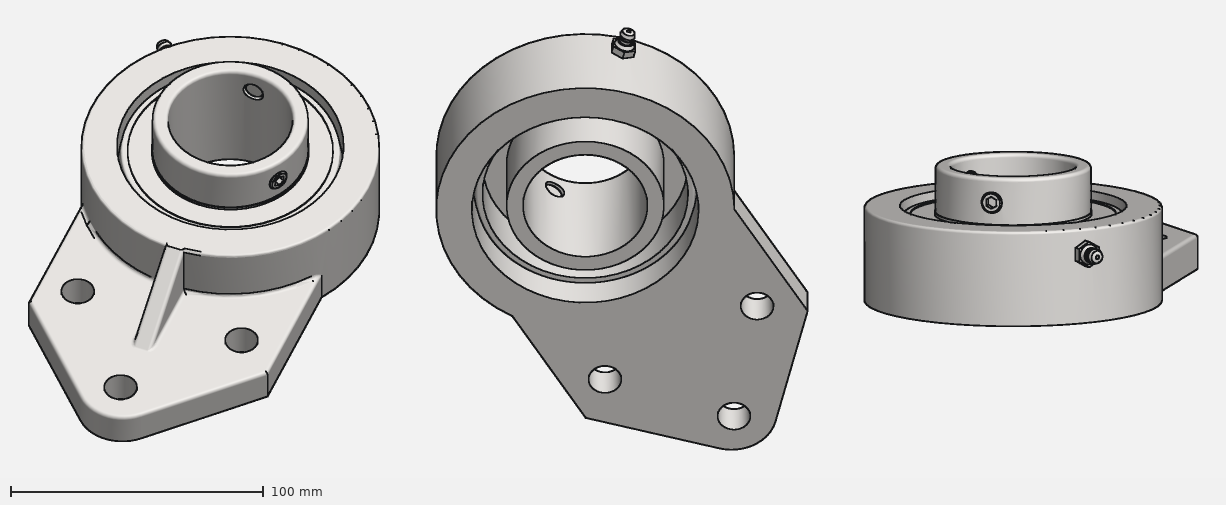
import cadquery as cq
import math

BOSS_RADIUS = 59.0
BOSS_HEIGHT = 38.0
BOSS_EDGE_FILLET = 1.1
BORE_RADIUS = 44.9

OVERALL_LENGTH = 191.0
PLATE_TIP_Y = BOSS_RADIUS - OVERALL_LENGTH
PLATE_HALF_WIDTH = 51.0
PLATE_SHOULDER_Y = -87.0
PLATE_TIP_RADIUS = 18.0
PLATE_THICKNESS = 14.1
PLATE_FILLET = 1.5
BOLT_HOLE_DIAMETER = 13.0
SIDE_HOLE_X = 35.0
SIDE_HOLE_Y = -74.7
TIP_HOLE_Y = -116.0

SELECTION_MARGIN = 0.2

RIB_WIDTH = 8.0
RIB_END_Y = -94.2
RIB_EDGE_FILLET = 1.5

BEARING_CENTER_Z = 23.0
RING_WIDTH = 24.0
RING_INNER_RADIUS = 40.7
RING_EDGE_FILLET = 1.0
RING_TOP_Z = BEARING_CENTER_Z + RING_WIDTH / 2

COLLAR_TOP_Z = 54.5
INNER_RING_BOTTOM_Z = 2.9
COLLAR_RADIUS = 61.7 / 2
SHOULDER_RADIUS = 62.3 / 2
SHAFT_RADIUS = 49.3 / 2
COLLAR_FILLET = 1.5

SEAL_THICKNESS = 2.9
SEAL_RECESS = 0.4
SHOULDER_RISE = 1.1
SEAL_TOP_Z = RING_TOP_Z - SEAL_RECESS
SHOULDER_TOP_Z = SEAL_TOP_Z + SHOULDER_RISE

SCREW_RADIUS = 8.4 / 2
SCREW_Z = 44.5
SCREW_ANGLES = (90, -30)
SCREW_INNER_END = 25.5
SCREW_OUTER_END = 31.5
SCREW_CHAMFER = 0.5
SOCKET_ACROSS_FLATS = 4.2
SOCKET_DEPTH = 2.9

NIPPLE_ANGLE = 135
NIPPLE_Z = 28.0
SHANK_RADIUS = 6.0 / 2
SHANK_DEPTH = 7.6
HEX_ACROSS_FLATS = 9.0
HEX_LENGTH = 3.0
CONE_BASE_RADIUS = 4.0
CONE_LENGTH = 1.5
NECK_RADIUS = 2.3
NECK_LENGTH = 1.7
HEAD_BASE_RADIUS = 2.7
HEAD_RADIUS = 3.0
HEAD_FLARE_LENGTH = 1.5
HEAD_END_RADIUS = 2.5
HEAD_TAPER_LENGTH = 1.7
TIP_RADIUS = 1.0
TIP_LENGTH = 0.4
GREASE_HOLE_RADIUS = 1.5 / 2


def radial_plane(angle, distance, height):
    """Plane facing outward from the Z axis, its local Y pointing up."""
    turn = math.radians(angle)
    outward = (math.cos(turn), math.sin(turn), 0)
    sideways = (-math.sin(turn), math.cos(turn), 0)
    origin = (distance * outward[0], distance * outward[1], height)
    return cq.Plane(origin=origin, xDir=sideways, normal=outward)


def ring(outer_radius, inner_radius, bottom, top):
    """Plain ring on the Z axis."""
    base = cq.Workplane(origin=(0, 0, bottom))
    return base.circle(outer_radius).circle(inner_radius).extrude(top - bottom)


def hexagon_diameter(across_flats):
    """Diameter across the corners of a regular hexagon."""
    return across_flats / math.cos(math.pi / 6)


def make_plate():
    """Plate with straight sides and two slanted edges tangent to the round tip."""
    tip_center_y = PLATE_TIP_Y + PLATE_TIP_RADIUS
    shoulder_rise = PLATE_SHOULDER_Y - tip_center_y
    shoulder_distance = math.hypot(PLATE_HALF_WIDTH, shoulder_rise)
    shoulder_angle = math.atan2(shoulder_rise, PLATE_HALF_WIDTH)
    tangent_angle = shoulder_angle - math.acos(PLATE_TIP_RADIUS / shoulder_distance)
    tangent_x = PLATE_TIP_RADIUS * math.cos(tangent_angle)
    tangent_y = tip_center_y + PLATE_TIP_RADIUS * math.sin(tangent_angle)
    return (
        cq.Workplane()
        .moveTo(-PLATE_HALF_WIDTH, 0)
        .lineTo(-PLATE_HALF_WIDTH, PLATE_SHOULDER_Y)
        .lineTo(-tangent_x, tangent_y)
        .threePointArc((0, PLATE_TIP_Y), (tangent_x, tangent_y))
        .lineTo(PLATE_HALF_WIDTH, PLATE_SHOULDER_Y)
        .lineTo(PLATE_HALF_WIDTH, 0)
        .close()
        .extrude(PLATE_THICKNESS)
    )


def make_rib():
    """Triangular rib from the top of the boss down to the plate."""
    rib = (
        cq.Workplane("YZ")
        .moveTo(0, PLATE_THICKNESS)
        .lineTo(RIB_END_Y, PLATE_THICKNESS)
        .lineTo(-BOSS_RADIUS, BOSS_HEIGHT)
        .lineTo(0, BOSS_HEIGHT)
        .close()
        .extrude(RIB_WIDTH / 2, both=True)
    )
    return rib.faces("<Y").edges("not <Z").edges("not |X").fillet(RIB_EDGE_FILLET)


def make_housing():
    """Boss, plate and rib in one piece, with the bore, the bolt holes and the nipple hole."""
    boss = cq.Workplane().circle(BOSS_RADIUS).extrude(BOSS_HEIGHT)
    boss = boss.faces(">Z").edges().fillet(BOSS_EDGE_FILLET)
    housing = boss.union(make_plate()).union(make_rib())
    plate_top = cq.selectors.BoxSelector(
        (-BOSS_RADIUS, PLATE_TIP_Y - SELECTION_MARGIN, PLATE_THICKNESS - SELECTION_MARGIN),
        (BOSS_RADIUS, 0, PLATE_THICKNESS + SELECTION_MARGIN),
        boundingbox=True,
    )
    housing = housing.edges(plate_top).edges("not |X").fillet(PLATE_FILLET)

    bore = cq.Workplane().circle(BORE_RADIUS).extrude(BOSS_HEIGHT)
    hole_places = [(-SIDE_HOLE_X, SIDE_HOLE_Y), (SIDE_HOLE_X, SIDE_HOLE_Y), (0, TIP_HOLE_Y)]
    holes = cq.Workplane().pushPoints(hole_places).circle(BOLT_HOLE_DIAMETER / 2).extrude(PLATE_THICKNESS)
    nipple_hole = (
        cq.Workplane(radial_plane(NIPPLE_ANGLE, BOSS_RADIUS, NIPPLE_Z))
        .circle(SHANK_RADIUS)
        .extrude(-SHANK_DEPTH)
    )
    return housing.cut(bore).cut(holes).cut(nipple_hole)


def make_outer_ring():
    """Slice of a ball, rounded at its rims, with a plain hole."""
    ball = cq.Workplane(origin=(0, 0, BEARING_CENTER_Z)).sphere(BORE_RADIUS)
    slab = cq.Workplane(origin=(0, 0, BEARING_CENTER_Z)).box(2 * BOSS_RADIUS, 2 * BOSS_RADIUS, RING_WIDTH)
    blank = ball.intersect(slab)
    blank = blank.faces("<Z or >Z").edges().fillet(RING_EDGE_FILLET)
    return blank.cut(cq.Workplane().circle(RING_INNER_RADIUS).extrude(RING_TOP_Z))


def make_inner_ring():
    """Long collar on a slightly wider shoulder, with radial holes for the set screws."""
    collar = ring(COLLAR_RADIUS, SHAFT_RADIUS, INNER_RING_BOTTOM_Z, COLLAR_TOP_Z)
    collar = collar.faces(">Z").edges().fillet(COLLAR_FILLET)
    inner_ring = collar.union(ring(SHOULDER_RADIUS, SHAFT_RADIUS, INNER_RING_BOTTOM_Z, SHOULDER_TOP_Z))
    for angle in SCREW_ANGLES:
        axis_start = cq.Workplane(radial_plane(angle, 0, SCREW_Z))
        screw_hole = axis_start.circle(SCREW_RADIUS).extrude(SHOULDER_RADIUS)
        inner_ring = inner_ring.cut(screw_hole)
    return inner_ring


def make_seal():
    """Flat ring between the bearing rings."""
    return ring(RING_INNER_RADIUS, SHOULDER_RADIUS, SEAL_TOP_Z - SEAL_THICKNESS, SEAL_TOP_Z)


def make_set_screw(angle):
    """Headless screw with chamfered ends and a hexagon socket in its outer end."""
    length = SCREW_OUTER_END - SCREW_INNER_END
    base = cq.Workplane(radial_plane(angle, SCREW_INNER_END, SCREW_Z))
    screw = base.circle(SCREW_RADIUS).extrude(length)
    screw = screw.edges().chamfer(SCREW_CHAMFER)
    socket = (
        cq.Workplane(radial_plane(angle, SCREW_OUTER_END, SCREW_Z))
        .transformed(rotate=(0, 0, 90))
        .polygon(6, hexagon_diameter(SOCKET_ACROSS_FLATS))
        .extrude(-SOCKET_DEPTH)
    )
    return screw.cut(socket)


def make_grease_nipple():
    """Shank, hexagon and turned head on one axis, with a grease hole through them."""
    seat = radial_plane(NIPPLE_ANGLE, BOSS_RADIUS, NIPPLE_Z)
    shank = cq.Workplane(seat).circle(SHANK_RADIUS).extrude(-SHANK_DEPTH)
    hexagon = (
        cq.Workplane(seat)
        .transformed(rotate=(0, 0, 90))
        .polygon(6, hexagon_diameter(HEX_ACROSS_FLATS))
        .extrude(HEX_LENGTH)
    )
    cone_end = HEX_LENGTH + CONE_LENGTH
    neck_end = cone_end + NECK_LENGTH
    flare_end = neck_end + HEAD_FLARE_LENGTH
    taper_end = flare_end + HEAD_TAPER_LENGTH
    nipple_end = taper_end + TIP_LENGTH
    profile = [
        (0, HEX_LENGTH),
        (CONE_BASE_RADIUS, HEX_LENGTH),
        (SHANK_RADIUS, cone_end),
        (NECK_RADIUS, cone_end),
        (NECK_RADIUS, neck_end),
        (HEAD_BASE_RADIUS, neck_end),
        (HEAD_RADIUS, flare_end),
        (HEAD_END_RADIUS, taper_end),
        (TIP_RADIUS, nipple_end),
        (0, nipple_end),
    ]
    axis_plane = cq.Plane(origin=seat.origin, xDir=(0, 0, 1), normal=seat.xDir)
    head = cq.Workplane(axis_plane).polyline(profile).close().revolve(360, (0, 0), (0, 1))
    grease_hole = (
        cq.Workplane(seat)
        .workplane(offset=-SHANK_DEPTH)
        .circle(GREASE_HOLE_RADIUS)
        .extrude(SHANK_DEPTH + nipple_end)
    )
    return shank.union(hexagon).union(head).cut(grease_hole)


housing = make_housing()
outer_ring = make_outer_ring()
inner_ring = make_inner_ring()
seal = make_seal()
set_screws = [make_set_screw(angle) for angle in SCREW_ANGLES]
grease_nipple = make_grease_nipple()

result = cq.Compound.makeCompound(
    [
        housing.val(),
        outer_ring.val(),
        inner_ring.val(),
        seal.val(),
        *[screw.val() for screw in set_screws],
        grease_nipple.val(),
    ]
)